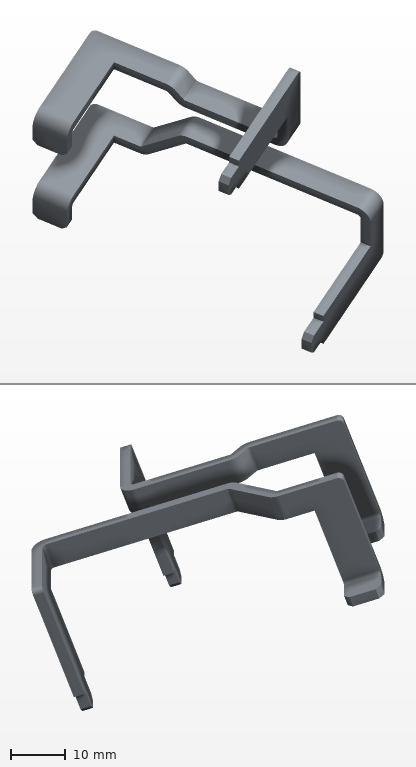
import cadquery as cq
import math


THICKNESS = 2.05
INNER_BEND_RADIUS = 0.7
MID_BEND_RADIUS = INNER_BEND_RADIUS + THICKNESS / 2
STRIP_WIDTH = 5.0
CORNER = 1.0
JOG_ANGLE = 45
RIGHT_ANGLE = 90

ARM_WIDTH = 7.05
ARM_REACH = 23.35
LIP_DROP = 7.4

TAB_HEIGHT = 8.15
NOSE_HEIGHT = 4.85
NOSE_TIP = 28.0

UPPER_ARM_TOP = 30.9
UPPER_JOG_START = 17.8
UPPER_JOG_RISE = -2.6
UPPER_LENGTH = 42.8
UPPER_TAB_END = 44.25
UPPER_SHOULDER = 23.95

LOWER_ARM_TOP = 9.4
LOWER_JOG_START = 12.3
LOWER_JOG_RISE = 8.5
LOWER_LENGTH = 59.85
LOWER_TAB_END = 0.0
LOWER_SHOULDER = 23.35


def sheet_path(plane, start, moves):
    """Mid-thickness path of (straight length, bend angle after it); positive angles turn left."""
    x, y = start
    heading = 0.0
    path = cq.Workplane(plane).moveTo(x, y)
    for length, turn in moves:
        x += length * math.cos(heading)
        y += length * math.sin(heading)
        path = path.lineTo(x, y)
        if turn:
            next_heading = heading + math.radians(turn)
            radius = math.copysign(MID_BEND_RADIUS, turn)
            x += radius * (math.sin(next_heading) - math.sin(heading))
            y += radius * (math.cos(heading) - math.cos(next_heading))
            path = path.tangentArcPoint((x, y), relative=False)
            heading = next_heading
    return path


def make_strip(arm_top, jog_start, jog_rise, length, tab_end):
    """Back strip: flat run, sloped jog, flat run and a right-angle turn up or down."""
    angle = math.radians(JOG_ANGLE)
    jog_sign = math.copysign(1, jog_rise)
    slope = (abs(jog_rise) - 2 * MID_BEND_RADIUS * (1 - math.cos(angle))) / math.sin(angle)
    jog_run = 2 * MID_BEND_RADIUS * math.sin(angle) + slope * math.cos(angle)
    mid_start = arm_top - THICKNESS / 2
    flat_run = length - THICKNESS / 2 - MID_BEND_RADIUS - jog_start - jog_run
    upright = abs(tab_end - (mid_start + jog_rise)) - MID_BEND_RADIUS
    moves = [
        (jog_start, jog_sign * JOG_ANGLE),
        (slope, -jog_sign * JOG_ANGLE),
        (flat_run, -jog_sign * RIGHT_ANGLE),
        (upright, 0),
    ]
    path = sheet_path("XZ", (0, mid_start), moves)
    section = cq.Workplane("YZ").center(-STRIP_WIDTH / 2, mid_start).rect(STRIP_WIDTH, THICKNESS)
    return section.sweep(path)


def make_arm(arm_top):
    """Flat arm reaching forward from the strip, with a lip bent down and chamfered at its tip."""
    mid_height = arm_top - THICKNESS / 2
    bend_size = MID_BEND_RADIUS + THICKNESS / 2
    moves = [(ARM_REACH - bend_size, -RIGHT_ANGLE), (LIP_DROP - bend_size, 0)]
    forward_plane = cq.Plane(origin=(0, 0, 0), xDir=(0, -1, 0), normal=(-1, 0, 0))
    path = sheet_path(forward_plane, (0, mid_height), moves)
    section = cq.Workplane("XZ").center(ARM_WIDTH / 2, mid_height).rect(ARM_WIDTH, THICKNESS)
    arm = section.sweep(path)
    return arm.faces("<Z").edges("|Y").chamfer(CORNER)


def make_tab(length, tab_end, shoulder, direction):
    """Upright tab whose free edge lies at tab_end, with a chamfered nose at its front."""
    tab_middle = tab_end - direction * TAB_HEIGHT / 2
    side = cq.Workplane("YZ", origin=(length - THICKNESS, 0, tab_middle))
    plate = side.center(-shoulder / 2, 0).rect(shoulder, TAB_HEIGHT).extrude(THICKNESS)
    nose = side.center(-NOSE_TIP / 2, 0).rect(NOSE_TIP, NOSE_HEIGHT).extrude(THICKNESS)
    nose = nose.faces("<Y").edges("|X").chamfer(CORNER)
    return plate.union(nose)


def make_terminal(arm_top, jog_start, jog_rise, length, tab_end, shoulder):
    """One terminal: strip, arm and tab as a single solid with rounded back corners."""
    tab_direction = -math.copysign(1, jog_rise)
    strip = make_strip(arm_top, jog_start, jog_rise, length, tab_end)
    arm = make_arm(arm_top)
    tab = make_tab(length, tab_end, shoulder, tab_direction)
    terminal = strip.union(arm).union(tab)
    arm_corner = cq.NearestToPointSelector((0, 0, arm_top - THICKNESS / 2))
    tab_corner = cq.NearestToPointSelector((length - THICKNESS / 2, 0, tab_end))
    terminal = terminal.edges("|Z").edges(arm_corner).fillet(CORNER)
    return terminal.edges("|X").edges(tab_corner).fillet(CORNER)


upper_terminal = make_terminal(
    UPPER_ARM_TOP, UPPER_JOG_START, UPPER_JOG_RISE, UPPER_LENGTH, UPPER_TAB_END, UPPER_SHOULDER
)
lower_terminal = make_terminal(
    LOWER_ARM_TOP, LOWER_JOG_START, LOWER_JOG_RISE, LOWER_LENGTH, LOWER_TAB_END, LOWER_SHOULDER
)

result = cq.Compound.makeCompound([upper_terminal.val(), lower_terminal.val()])